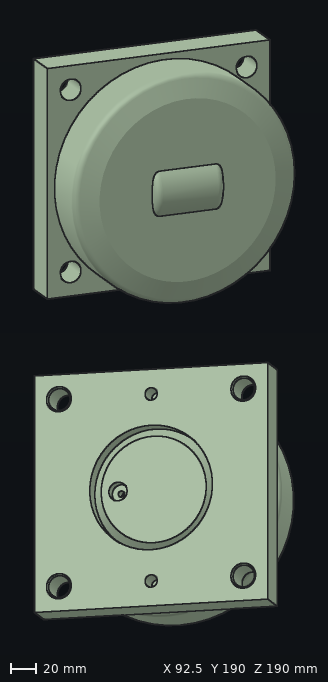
import cadquery as cq
import math

plate_side = 190.0
plate_thickness = 28.1

collar_radius = 62.0
wheel_radius = plate_side / 2
wheel_back = 37.8
wheel_front = 86.0
wheel_edge_radius = 5.7
wheel_rim_end = 76.4
wheel_cone_angle = math.radians(15)

overall_depth = 92.5
side_roller_radius = 30.0
side_roller_length = 60.0
side_roller_edge_radius = 6.0

bore_radius = 50.0
axle_recess = 7.8
axle_chamfer = 7.2

grease_offset = 29.0
grease_counterbore_radius = 7.5
grease_counterbore_depth = 10.0
grease_hole_radius = 2.5
grease_hole_depth = 10.0
drill_tip_depth = 1.5

hole_offset = 75.0
screw_hole_radius = 8.7
screw_chamfer = 1.3
dowel_hole_radius = 5.0
dowel_hole_depth = 20.0


def disc(radius, start, length, y=0.0, z=0.0):
    """Cylinder along +X, starting at X = start."""
    return cq.Workplane("YZ", origin=(start, y, z)).circle(radius).extrude(length)


def cone(start, start_radius, length, end_radius, y=0.0, z=0.0):
    """Cone or frustum along +X, starting at X = start."""
    return cq.Workplane(
        cq.Solid.makeCone(start_radius, end_radius, length, cq.Vector(start, y, z), cq.Vector(1, 0, 0))
    )


def make_plate():
    return cq.Workplane("YZ").rect(plate_side, plate_side).extrude(plate_thickness)


def make_wheel():
    """Revolved wheel: rounded edges, and a shallow cone leading to the flat front."""
    edge = wheel_edge_radius
    shoulder_radius = wheel_radius - edge

    def front_edge(angle):
        return (wheel_rim_end + edge * math.cos(angle), shoulder_radius + edge * math.sin(angle))

    def back_edge(angle):
        return (wheel_back + edge - edge * math.cos(angle), shoulder_radius + edge * math.sin(angle))

    cone_start_x, cone_start_radius = front_edge(wheel_cone_angle)
    face_radius = cone_start_radius - (wheel_front - cone_start_x) / math.tan(wheel_cone_angle)
    front_arc_middle = (wheel_cone_angle + math.pi / 2) / 2
    profile = (
        cq.Workplane("XY")
        .moveTo(wheel_back, 0)
        .lineTo(*back_edge(0))
        .threePointArc(back_edge(math.pi / 4), back_edge(math.pi / 2))
        .lineTo(*front_edge(math.pi / 2))
        .threePointArc(front_edge(front_arc_middle), (cone_start_x, cone_start_radius))
        .lineTo(wheel_front, face_radius)
        .lineTo(wheel_front, 0)
        .close()
    )
    return profile.revolve(360, (0, 0, 0), (1, 0, 0))


def make_side_roller():
    axis_x = overall_depth - side_roller_radius
    return (
        cq.Workplane("XZ", origin=(axis_x, 0, 0))
        .circle(side_roller_radius)
        .extrude(side_roller_length / 2, both=True)
        .edges()
        .fillet(side_roller_edge_radius)
    )


def make_axle_recess():
    """Plate bore down to the foot of the axle chamfer, less the chamfered axle end."""
    bore = disc(bore_radius, 0, axle_recess + axle_chamfer)
    axle_end = cone(axle_recess, bore_radius - axle_chamfer, axle_chamfer, bore_radius)
    return bore.cut(axle_end)


def make_grease_hole():
    hole_start = axle_recess + grease_counterbore_depth
    tip_start = hole_start + grease_hole_depth
    counterbore = disc(grease_counterbore_radius, axle_recess, grease_counterbore_depth, grease_offset)
    hole = disc(grease_hole_radius, hole_start, grease_hole_depth, grease_offset)
    tip = cone(tip_start, grease_hole_radius, drill_tip_depth, 0, grease_offset)
    return counterbore.union(hole).union(tip)


def make_screw_hole(y, z):
    mouth_radius = screw_hole_radius + screw_chamfer
    hole = disc(screw_hole_radius, 0, plate_thickness, y, z)
    return hole.union(cone(0, mouth_radius, screw_chamfer, screw_hole_radius, y, z))


collar = disc(collar_radius, plate_thickness, wheel_back - plate_thickness)
result = make_plate().union(collar).union(make_wheel()).union(make_side_roller())
result = result.cut(make_axle_recess()).cut(make_grease_hole())

for z_side in (-1, 1):
    z_hole = z_side * hole_offset
    result = result.cut(disc(dowel_hole_radius, 0, dowel_hole_depth, 0, z_hole))
    for y_side in (-1, 1):
        result = result.cut(make_screw_hole(y_side * hole_offset, z_hole))